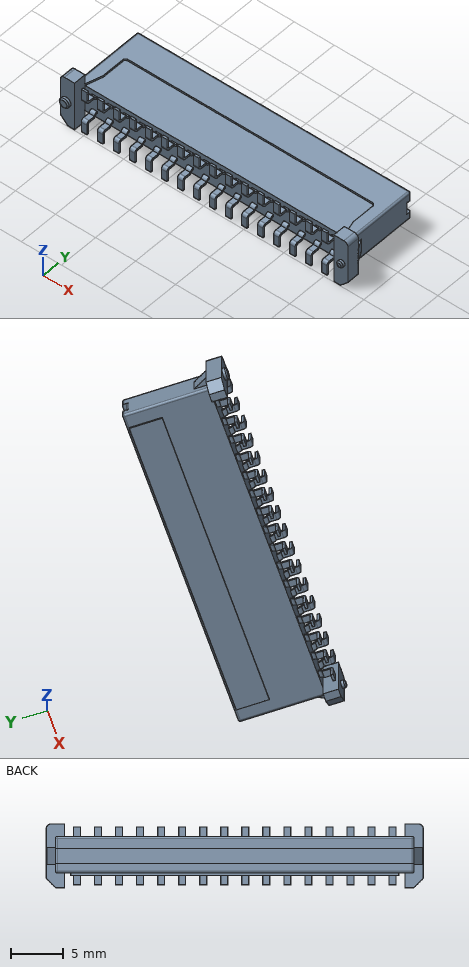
import cadquery as cq

total_length = 35.9
ear_height = 6.1
mid_z = ear_height / 2

body_length = 34.1
body_depth = 8.75
body_bottom = 1.4
body_top = 4.92
body_edge_radius = 0.2
slot_depth = 0.43
slot_height = 1.45

panel_half_width = 15.6
panel_step = 0.2
recess_depth_y = 5.2
recess_taper_y = 1.97
recess_corner_radius = 0.35
pad_end_y = body_depth - body_edge_radius
pad_length = 3.35
pad_start_y = pad_end_y - pad_length

ear_width = 1.75
ear_thickness = 1.55
ear_top_radius = 0.5
ear_chamfer = 0.95
ear_outer_x = total_length / 2
ear_inner_x = ear_outer_x - ear_width

gusset_reach_y = 1.5
gusset_height = 1.6
gusset_setback = 0.1
gusset_outer_x = ear_outer_x - gusset_setback

peg_length = 0.43
peg_chamfer = 0.15
large_peg_diameter = 1.2
large_peg_x = -17.23
small_peg_diameter = 0.8
small_peg_x = 17.2

pin_count = 16
pin_row_length = 30.0
pin_pitch = pin_row_length / (pin_count - 1)
pin_width = 0.7
pin_thickness = 0.25
pin_exit_offset = 0.83
pin_step_reach = 0.43
pin_step_drop = 0.32
pin_bend_radius = 0.35
pin_tip_offset = 2.75


def block(x_range, y_range, z_range):
    """Box spanning the given (low, high) ranges."""
    low, high = zip(x_range, y_range, z_range)
    size = [b - a for a, b in zip(low, high)]
    return cq.Workplane("XY").box(*size, centered=False).translate(low)


def mirrored_pair(solid):
    """The solid together with its mirror image across X = 0."""
    return solid.union(solid.mirror("YZ"))


def make_housing():
    half = body_length / 2
    housing = block((-half, half), (0, body_depth), (body_bottom, body_top))
    housing = housing.edges("|Y or >Y").fillet(body_edge_radius)
    slot_floor_y = body_depth - slot_depth
    slot = block(
        (-half, half),
        (slot_floor_y, body_depth),
        (mid_z - slot_height / 2, mid_z + slot_height / 2),
    )
    housing = housing.cut(slot)
    for side in (-1, 1):
        floor_end = cq.selectors.NearestToPointSelector((side * half, slot_floor_y, mid_z))
        housing = housing.edges("|Z").edges(floor_end).fillet(body_edge_radius)
    return housing


def make_recess():
    outline = [
        (-ear_inner_x, 0),
        (-panel_half_width, recess_taper_y),
        (-panel_half_width, recess_depth_y),
        (panel_half_width, recess_depth_y),
        (panel_half_width, recess_taper_y),
        (ear_inner_x, 0),
    ]
    recess = cq.Workplane("XY", origin=(0, 0, body_top - panel_step)).polyline(outline).close()
    return recess.extrude(panel_step).edges("|Z and >Y").fillet(recess_corner_radius)


def make_pad():
    return block(
        (-panel_half_width, panel_half_width),
        (pad_start_y, pad_end_y),
        (body_bottom - panel_step, body_bottom),
    )


def make_ears():
    outline = (
        cq.Workplane("XZ")
        .moveTo(ear_inner_x, 0)
        .lineTo(ear_outer_x - ear_chamfer, 0)
        .lineTo(ear_outer_x, ear_chamfer)
        .lineTo(ear_outer_x, ear_height - ear_top_radius)
        .radiusArc((ear_outer_x - ear_top_radius, ear_height), -ear_top_radius)
        .lineTo(ear_inner_x, ear_height)
        .close()
    )
    return mirrored_pair(outline.extrude(ear_thickness))


def make_gussets():
    outline = [
        (ear_inner_x, 0),
        (gusset_outer_x, 0),
        (body_length / 2, gusset_reach_y),
        (ear_inner_x, gusset_reach_y),
    ]
    gusset = cq.Workplane("XY", origin=(0, 0, mid_z - gusset_height / 2)).polyline(outline).close()
    return mirrored_pair(gusset.extrude(gusset_height))


def make_peg(x, diameter):
    peg = cq.Workplane("XZ", origin=(x, -ear_thickness, mid_z)).circle(diameter / 2).extrude(peg_length)
    return peg.faces("<Y").chamfer(peg_chamfer)


def make_lower_pin():
    """Pin that leaves the housing, steps down, runs outward and bends down into a leg."""
    inner_radius = pin_bend_radius - pin_thickness
    exit_top = mid_z - pin_exit_offset
    run_top = exit_top - pin_step_drop
    run_bottom = run_top - pin_thickness
    exit_bottom = exit_top - pin_thickness
    tip = mid_z - pin_tip_offset
    leg_outer = -ear_thickness
    leg_inner = leg_outer + pin_thickness
    step_radius = (pin_step_reach**2 + pin_step_drop**2) / (2 * pin_step_drop)
    profile = (
        cq.Workplane("YZ", origin=(-pin_width / 2, 0, 0))
        .moveTo(0, exit_top)
        .radiusArc((-pin_step_reach, run_top), -step_radius)
        .lineTo(leg_outer + pin_bend_radius, run_top)
        .radiusArc((leg_outer, run_top - pin_bend_radius), -pin_bend_radius)
        .lineTo(leg_outer, tip)
        .lineTo(leg_inner, tip)
        .lineTo(leg_inner, run_bottom - inner_radius)
        .radiusArc((leg_inner + inner_radius, run_bottom), inner_radius)
        .lineTo(-pin_step_reach, run_bottom)
        .radiusArc((0, exit_bottom), step_radius)
        .close()
    )
    return profile.extrude(pin_width)


result = make_housing().cut(make_recess())
result = result.union(make_pad()).union(make_ears()).union(make_gussets())
result = result.union(make_peg(large_peg_x, large_peg_diameter))
result = result.union(make_peg(small_peg_x, small_peg_diameter))

lower_pin = make_lower_pin()
upper_pin = lower_pin.mirror("XY", (0, 0, mid_z))
for index in range(pin_count):
    pin_x = index * pin_pitch - pin_row_length / 2
    for pin in (lower_pin, upper_pin):
        result = result.union(pin.translate((pin_x, 0, 0)))